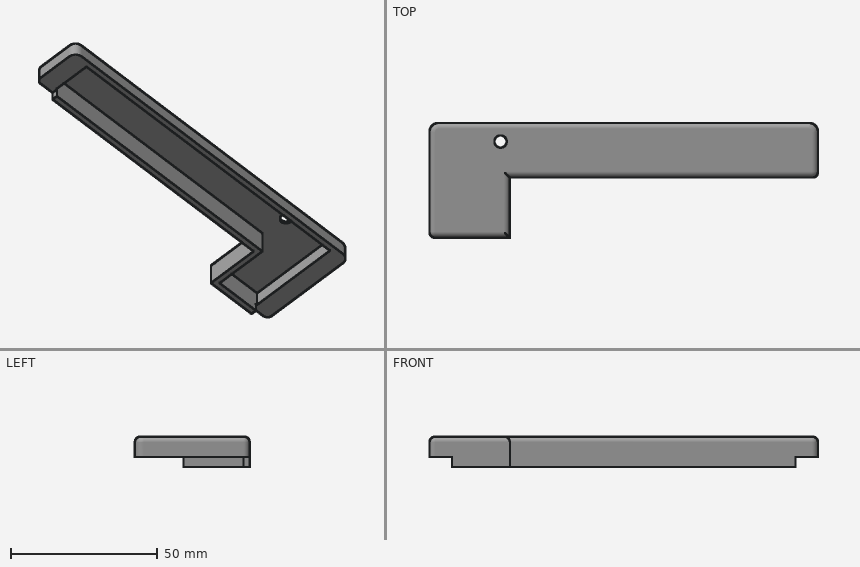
import cadquery as cq

LENGTH = 132.7
WIDTH = 39.3
HEIGHT = 10.5
ARM_WIDTH = 18.7
LEG_WIDTH = 27.5
INNER_Y = WIDTH - ARM_WIDTH

RIM_RADIUS = 2.0
BACK_CORNER_RADIUS = 3.0

WALL = 2.1
ROOF = 1.0
LEFT_BLOCK_LENGTH = 7.2
RIGHT_BLOCK_LENGTH = 7.4

SKIRT_DROP = 3.5
SKIRT_END_INSET = 7.7

HOLE_DIAMETER = 4.1
HOLE_X = 24.3
HOLE_BACK_INSET = 6.4


def l_block(left, right, front_inset, back_inset, bottom, top):
    """L-shaped block; front_inset moves every front-side face inward."""
    leg_x = LEG_WIDTH - front_inset
    arm_y = INNER_Y + front_inset
    back_y = WIDTH - back_inset
    return (
        cq.Workplane("XY", origin=(0, 0, bottom))
        .moveTo(left, front_inset)
        .lineTo(leg_x, front_inset)
        .lineTo(leg_x, arm_y)
        .lineTo(right, arm_y)
        .lineTo(right, back_y)
        .lineTo(left, back_y)
        .close()
        .extrude(top - bottom)
    )


def fillet_upright_edge(body, x, y, radius):
    """Round the vertical edge standing at (x, y)."""
    near_edge = cq.selectors.BoxSelector((x - 1.3, y - 1.3, 0), (x + 1.3, y + 1.3, HEIGHT))
    return body.edges("|Z").edges(near_edge).fillet(radius)


def cover_body():
    """Solid cover with rounded end corners and a rounded top rim."""
    body = l_block(0, LENGTH, 0, 0, SKIRT_DROP, HEIGHT)
    body = body.edges("|Z and >Y").fillet(BACK_CORNER_RADIUS)
    for x, y in [(0, 0), (LENGTH, INNER_Y)]:
        body = fillet_upright_edge(body, x, y, RIM_RADIUS)
    return body.faces(">Z").edges().fillet(RIM_RADIUS)


def skirt():
    """L-shaped block below the cover; the cavity leaves only its front walls."""
    back_inset = ARM_WIDTH - WALL
    right = LENGTH - SKIRT_END_INSET
    block_top = HEIGHT - RIM_RADIUS
    return l_block(SKIRT_END_INSET, right, 0, back_inset, 0, block_top)


def cavity():
    """Hollow open at the bottom, between the solid end blocks."""
    right = LENGTH - RIGHT_BLOCK_LENGTH
    return l_block(LEFT_BLOCK_LENGTH, right, WALL, WALL, 0, HEIGHT - ROOF)


def roof_hole():
    return (
        cq.Workplane("XY")
        .center(HOLE_X, WIDTH - HOLE_BACK_INSET)
        .circle(HOLE_DIAMETER / 2)
        .extrude(HEIGHT)
    )


result = cover_body().union(skirt()).cut(cavity()).cut(roof_hole())